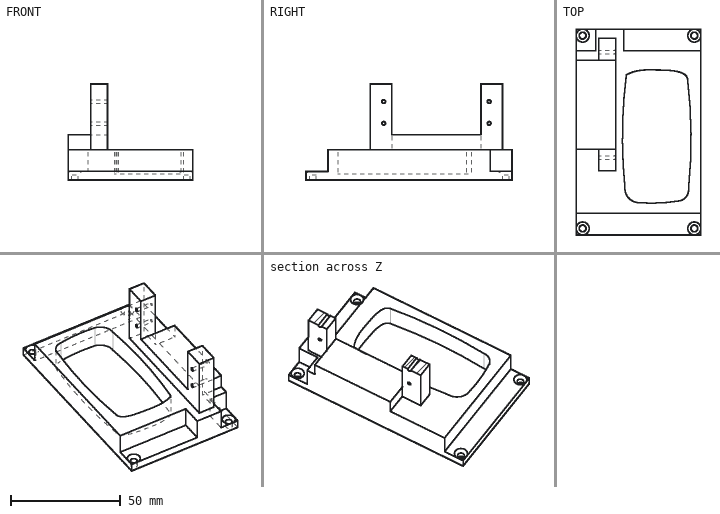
import cadquery as cq

width = 57.0
length = 94.0
height = 44.0

base_thickness = 4.0
block_top = 14.0
end_ledge = 10.0
back_tab_left = 9.0
back_tab_right = 21.8

seat_top = 20.9
post_left = 10.2
post_right = 18.05
post_length = 10.0
seat_back = -14.2
seat_front = -54.8

cross_hole_diameter = 1.5
cross_hole_heights = (25.9, 35.9)
cross_hole_inset = 3.8

screw_diameter = 3.0
countersink_diameter = 5.9
countersink_angle = 90
screw_inset = 3.0

pocket_floor = 3.0


def box(x_min, x_max, y_min, y_max, z_min, z_max):
    """Axis-aligned box between the given limits."""
    size = (x_max - x_min, y_max - y_min, z_max - z_min)
    return cq.Workplane().box(*size, centered=False).translate((x_min, y_min, z_min))


def make_body():
    """Base plate, main block, back tab, seat and posts."""
    body = box(0, width, -length, 0, 0, base_thickness)
    body = body.union(box(0, width, end_ledge - length, -end_ledge, 0, block_top))
    body = body.union(box(back_tab_left, back_tab_right, -end_ledge, 0, 0, block_top))
    body = body.union(box(0, post_right, seat_front, seat_back, 0, seat_top))
    for post_front in (seat_back, seat_front - post_length):
        post_back = post_front + post_length
        body = body.union(box(post_left, post_right, post_front, post_back, base_thickness, height))
    return body


def make_pocket():
    """Bulged four-sided outline with rounded corners, open at the block top."""
    back_curve = [
        (28.5, -19.0),
        (37.0, -18.6),
        (42.7, -18.9),
        (48.0, -19.9),
        (49.9, -21.1),
        (50.9, -22.75),
    ]
    outline = (
        cq.Workplane("XY", origin=(0, 0, pocket_floor))
        .moveTo(22.9, -20.9)
        .spline(back_curve, includeCurrent=True)
        .threePointArc((52.45, -48.9), (51.3, -72.85))
        .threePointArc((49.9, -76.9), (46.5, -78.5))
        .threePointArc((39.0, -79.3), (27.7, -79.15))
        .threePointArc((24.4, -77.55), (22.3, -72.2))
        .threePointArc((21.15, -48.9), (22.9, -20.9))
        .close()
    )
    return outline.extrude(block_top - pocket_floor)


def drill_posts(body):
    """Cross holes along X, set in from the seat ends of the posts."""
    hole_places = [
        (y, z)
        for y in (seat_back + cross_hole_inset, seat_front - cross_hole_inset)
        for z in cross_hole_heights
    ]
    holes = (
        cq.Workplane("YZ", origin=(post_left, 0, 0))
        .pushPoints(hole_places)
        .circle(cross_hole_diameter / 2)
        .extrude(post_right - post_left)
    )
    return body.cut(holes)


def drill_screws(body):
    """Countersunk screw hole in each corner of the base plate."""
    screw_places = [
        (x, y)
        for x in (screw_inset, width - screw_inset)
        for y in (-screw_inset, screw_inset - length)
    ]
    return (
        body.copyWorkplane(cq.Workplane("XY", origin=(0, 0, base_thickness)))
        .pushPoints(screw_places)
        .cskHole(screw_diameter, countersink_diameter, countersink_angle)
    )


result = drill_screws(drill_posts(make_body().cut(make_pocket())))